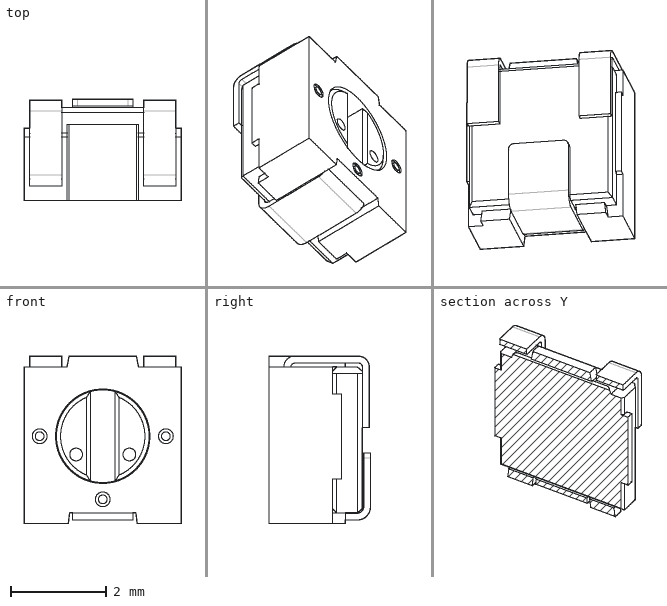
import cadquery as cq
import math

width = 3.3
height = 3.51
depth = 2.13

step = 0.225
shoulder_z = height - step
block_depth = 1.335
tab_depth = 1.6
tab_half_top = 0.71
tab_half_base = 0.75
notch_half_bottom = 0.72
notch_half_top = 0.69
foot_half_bottom = 1.335
foot_half_top = 1.305
ear_z_min = 0.94
ear_z_max = 2.715
ear_depth = 1.525

plate_half = 1.53
plate_rear = 1.96
plate_rear_chamfer = 0.105
plate_rear_chamfer_side = 0.08
plate_rear_chamfer_ends = 0.088
plate_front_chamfer = 0.088
plate_ledge_drop = 0.135
plate_ledge_x = 1.23

dial_z = 1.832
bore_radius = 0.99
bore_depth = 0.595
dial_gap = 0.018
dial_chamfer_width = 0.088
dial_chamfer_depth = 0.077
slot_half = 0.26
slot_depth = 0.523
slot_chamfer = 0.077
key_hole_radius = 0.135
key_hole_x = 0.558
key_hole_z = 1.45

mark_pitch_radius = 1.325
mark_outer_radius = 0.155
mark_inner_radius = 0.09
mark_depth = 0.035

sheet = 0.147
bend_radius = 0.225
terminal_front = 0.312
embed = 0.035
upper_terminal_width = 0.675
upper_terminal_x = 1.195
upper_terminal_tip_z = 2.015
lower_terminal_width = 1.278
lower_terminal_z = 0.075
lower_terminal_tip_z = 1.48
lower_terminal_corner = 0.11
lower_rear_radius = 0.277


def box(x_min, x_max, y_min, y_max, z_min, z_max):
    """Axis-aligned box between the given limits."""
    return cq.Workplane("XY").box(
        x_max - x_min, y_max - y_min, z_max - z_min, centered=False
    ).translate((x_min, y_min, z_min))


def extrude_back(points, y_min, y_max):
    """Prism of an (x, z) outline running from y_min to y_max."""
    profile = cq.Workplane("XZ", origin=(0, y_min, 0)).polyline(points).close()
    return profile.extrude(y_min - y_max)


def disc(x, z, radius, y_depth):
    """Cylinder running back from the dial face."""
    return cq.Workplane("XZ").center(x, z).circle(radius).extrude(-y_depth)


def make_block():
    half = width / 2
    outline = [
        (-half, 0), (-notch_half_bottom, 0), (-notch_half_top, step),
        (notch_half_top, step), (notch_half_bottom, 0), (half, 0),
        (half, shoulder_z), (tab_half_base, shoulder_z), (tab_half_top, height),
        (-tab_half_top, height), (-tab_half_base, shoulder_z), (-half, shoulder_z),
    ]
    block = extrude_back(outline, 0, block_depth)
    tab_outline = [
        (-tab_half_base, shoulder_z), (tab_half_base, shoulder_z),
        (tab_half_top, height), (-tab_half_top, height),
    ]
    block = block.union(extrude_back(tab_outline, 0, tab_depth))
    for side in (-1, 1):
        foot_outline = [
            (side * notch_half_bottom, 0), (side * foot_half_bottom, 0),
            (side * foot_half_top, step), (side * notch_half_top, step),
        ]
        block = block.union(extrude_back(foot_outline, 0, tab_depth))
    return block.union(box(-half, half, 0, ear_depth, ear_z_min, ear_z_max))


def make_plate():
    """Plate shaped by its X-Z face, trimmed by chamfered X-Y and Y-Z sections."""
    ledge_z = shoulder_z - plate_ledge_drop
    rise_end_x = plate_ledge_x - plate_ledge_drop
    face = (
        cq.Workplane("XZ", origin=(0, block_depth, 0))
        .moveTo(-plate_half, step)
        .lineTo(plate_half, step)
        .lineTo(plate_half, ledge_z)
        .lineTo(plate_ledge_x, ledge_z)
        .radiusArc((rise_end_x, shoulder_z), -plate_ledge_drop)
        .lineTo(-rise_end_x, shoulder_z)
        .radiusArc((-plate_ledge_x, ledge_z), -plate_ledge_drop)
        .lineTo(-plate_half, ledge_z)
        .close()
        .extrude(block_depth - plate_rear)
    )
    front_y = block_depth + plate_front_chamfer
    rear_y = plate_rear - plate_rear_chamfer
    front_x = plate_half - plate_front_chamfer
    rear_x = plate_half - plate_rear_chamfer_side
    plan = cq.Workplane("XY").polyline([
        (-front_x, block_depth), (front_x, block_depth), (plate_half, front_y), (plate_half, rear_y),
        (rear_x, plate_rear), (-rear_x, plate_rear), (-plate_half, rear_y), (-plate_half, front_y),
    ]).close().extrude(height)
    side = cq.Workplane("YZ", origin=(-plate_half, 0, 0)).polyline([
        (block_depth, step + plate_front_chamfer), (front_y, step),
        (rear_y, step), (plate_rear, step + plate_rear_chamfer_ends),
        (plate_rear, shoulder_z - plate_rear_chamfer_ends), (rear_y, shoulder_z),
        (front_y, shoulder_z), (block_depth, shoulder_z - plate_front_chamfer),
    ]).close().extrude(2 * plate_half)
    return face.intersect(plan).intersect(side)


def make_dial():
    """Flush slotted disc; its foot joins the floor of the bore."""
    radius = bore_radius - dial_gap
    dial = disc(0, dial_z, radius, bore_depth)
    dial = dial.faces("<Y").chamfer(dial_chamfer_depth, dial_chamfer_width)
    slot_outline = [
        (-slot_half - slot_chamfer, 0), (slot_half + slot_chamfer, 0),
        (slot_half, slot_chamfer), (slot_half, slot_depth),
        (-slot_half, slot_depth), (-slot_half, slot_chamfer),
    ]
    slot = cq.Workplane("XY").polyline(slot_outline).close().extrude(height)
    dial = dial.cut(slot)
    for side in (-1, 1):
        dial = dial.cut(disc(side * key_hole_x, key_hole_z, key_hole_radius, slot_depth))
    return dial


def make_ring_mark(angle):
    x = mark_pitch_radius * math.cos(math.radians(angle))
    z = dial_z + mark_pitch_radius * math.sin(math.radians(angle))
    outer = disc(x, z, mark_outer_radius, mark_depth)
    return outer.cut(disc(x, z, mark_inner_radius, mark_depth))


def make_terminal(x, sheet_width, root_z, face_z, tip_z, rear, rear_radius):
    """Sheet strip from its root in the block, along the outer level face_z, to its rear leg tip."""
    inward = math.copysign(1, tip_z - face_z)
    sin45 = math.sqrt(0.5)
    front_y = terminal_front + bend_radius
    front_z = face_z + inward * bend_radius
    rear_y = rear - rear_radius
    rear_z = face_z + inward * rear_radius
    front_inner = bend_radius - sheet
    rear_inner = rear_radius - sheet

    def arc_mid(y, z, radius, y_sign):
        return (y + y_sign * radius * sin45, z - inward * radius * sin45)

    profile = (
        cq.Workplane("YZ", origin=(x - sheet_width / 2, 0, 0))
        .moveTo(terminal_front, root_z)
        .lineTo(terminal_front, front_z)
        .threePointArc(arc_mid(front_y, front_z, bend_radius, -1), (front_y, face_z))
        .lineTo(rear_y, face_z)
        .threePointArc(arc_mid(rear_y, rear_z, rear_radius, 1), (rear, rear_z))
        .lineTo(rear, tip_z)
        .lineTo(rear - sheet, tip_z)
        .lineTo(rear - sheet, rear_z)
        .threePointArc(arc_mid(rear_y, rear_z, rear_inner, 1), (rear_y, face_z + inward * sheet))
        .lineTo(front_y, face_z + inward * sheet)
        .threePointArc(arc_mid(front_y, front_z, front_inner, -1), (terminal_front + sheet, front_z))
        .lineTo(terminal_front + sheet, root_z)
        .close()
    )
    return profile.extrude(sheet_width)


def make_lower_terminal():
    root_z = lower_terminal_z + bend_radius + embed
    terminal = make_terminal(
        0, lower_terminal_width, root_z, lower_terminal_z, lower_terminal_tip_z, depth, lower_rear_radius
    )
    return terminal.edges("|Y and >Z").fillet(lower_terminal_corner)


body = make_block().union(make_plate())
body = body.cut(disc(0, dial_z, bore_radius, bore_depth))
body = body.union(make_dial())
for mark_angle in (0, 180, 270):
    body = body.cut(make_ring_mark(mark_angle))
for side in (-1, 1):
    body = body.union(make_terminal(
        side * upper_terminal_x, upper_terminal_width, shoulder_z - embed,
        height, upper_terminal_tip_z, plate_rear + sheet, bend_radius,
    ))
result = body.union(make_lower_terminal())